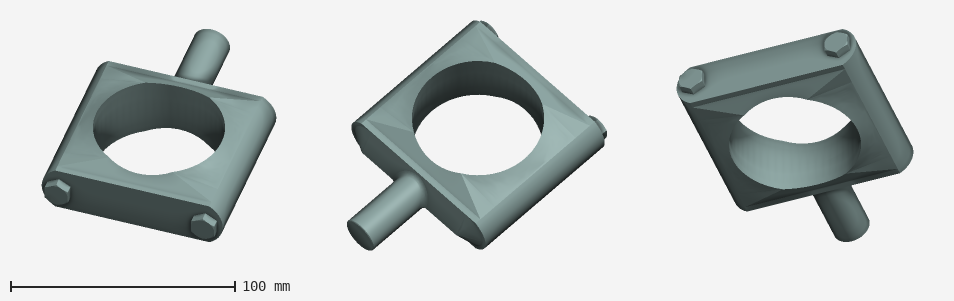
import cadquery as cq
import math

body_width = 85.2
body_length = 74.7
side_radius = 12.7
side_center_x = body_width / 2 - side_radius
bevel_angle = math.radians(30)
flat_half_width = side_center_x + side_radius * math.sin(bevel_angle)
flat_height = side_radius * math.cos(bevel_angle)

bore_radius = 29.5
pad_height = 14.9
pad_foot_y = 34.3
pad_crest_y = 25.4
pad_crest_x = math.sqrt(bore_radius**2 - pad_crest_y**2)

back_y = body_length / 2
roof_height = 5.9
roof_foot = 10.6
root_overlap = 1.2

shank_radius = 8.5
shank_end_y = 74.1
shank_chamfer = 0.3
shank_fillet = 2.3

bolt_x = 34.5
bolt_flats = 10.9
bolt_corners = bolt_flats / math.cos(math.pi / 6)
bolt_height = 4.2
bolt_chamfer_run = 0.8
bolt_chamfer_rise = 0.3


def make_body():
    """Bar section closed by shallow arcs between the top and bottom flats."""
    section = (
        cq.Workplane("XZ")
        .moveTo(-flat_half_width, flat_height)
        .lineTo(flat_half_width, flat_height)
        .threePointArc((body_width / 2, 0), (flat_half_width, -flat_height))
        .lineTo(-flat_half_width, -flat_height)
        .threePointArc((-body_width / 2, 0), (-flat_half_width, flat_height))
        .close()
    )
    return section.extrude(body_length / 2, both=True)


def tapered_slab(plane, foot, crest, half_depth):
    """Symmetric slab that tapers from its foot on the flats to the pad crest."""
    outline = [
        (foot, flat_height), (crest, pad_height),
        (-crest, pad_height), (-foot, flat_height),
        (-foot, -flat_height), (-crest, -pad_height),
        (crest, -pad_height), (foot, -flat_height),
    ]
    return cq.Workplane(plane).polyline(outline).close().extrude(half_depth, both=True)


def make_pad_side():
    """Block whose top is ruled from the level bore rim down to the straight +X edge."""
    def rim(z):
        return cq.Edge.makeThreePointArc(
            cq.Vector(pad_crest_x, -pad_crest_y, z),
            cq.Vector(bore_radius, 0, z),
            cq.Vector(pad_crest_x, pad_crest_y, z),
        )

    def outer_edge(z):
        return cq.Edge.makeLine(
            cq.Vector(flat_half_width, -pad_crest_y, z),
            cq.Vector(flat_half_width, pad_crest_y, z),
        )

    def end_face(y):
        return cq.Face.makeFromWires(cq.Wire.makePolygon([
            cq.Vector(pad_crest_x, y, 0),
            cq.Vector(flat_half_width, y, 0),
            cq.Vector(flat_half_width, y, flat_height),
            cq.Vector(pad_crest_x, y, pad_height),
        ], close=True))

    rim_top = rim(pad_height)
    rim_base = rim(0)
    edge_top = outer_edge(flat_height)
    edge_base = outer_edge(0)
    faces = [
        cq.Face.makeRuledSurface(rim_top, edge_top),
        cq.Face.makeRuledSurface(rim_base, edge_base),
        cq.Face.makeRuledSurface(rim_top, rim_base),
        cq.Face.makeRuledSurface(edge_top, edge_base),
        end_face(pad_crest_y),
        end_face(-pad_crest_y),
    ]
    solid = cq.Solid.makeSolid(cq.Shell.makeShell(faces))
    return cq.Workplane(obj=solid.fix())


def make_pad():
    """Hipped pad ends joined with the four ruled sides around the bore."""
    end_slopes = tapered_slab("YZ", pad_foot_y, pad_crest_y, flat_half_width)
    side_slopes = tapered_slab("XZ", flat_half_width, pad_crest_x, pad_foot_y)
    pad = end_slopes.intersect(side_slopes)
    upper_side = make_pad_side()
    for side in (upper_side, upper_side.mirror("XY")):
        pad = pad.union(side).union(side.mirror("YZ"))
    return pad


def make_shoulder_and_shank():
    """Ridge with half-cone ends, carrying the filleted shank; upper half built and mirrored."""
    root_y = back_y - root_overlap
    ridge_y = back_y + roof_height
    roof = (
        cq.Workplane("YZ")
        .polyline([(root_y, 0), (root_y, roof_foot), (back_y, roof_foot), (ridge_y, 0)])
        .close()
        .extrude(side_center_x, both=True)
    )
    shank = (
        cq.Workplane("XY")
        .polyline([
            (0, root_y), (shank_radius, root_y),
            (shank_radius, shank_end_y - shank_chamfer),
            (shank_radius - shank_chamfer, shank_end_y),
            (0, shank_end_y),
        ])
        .close()
        .revolve(180, (0, 0), (0, -1))
    )
    upper_half = roof.union(shank)
    upper_half = upper_half.edges("%ELLIPSE").fillet(shank_fillet)

    cone = (
        cq.Workplane("XY")
        .polyline([(0, root_y), (roof_foot, root_y), (roof_foot, back_y), (0, ridge_y)])
        .close()
        .revolve(90, (0, 0), (0, -1))
        .translate((side_center_x, 0, 0))
    )
    upper_half = upper_half.union(cone).union(cone.mirror("YZ"))
    return upper_half.union(upper_half.mirror("XY"))


def make_bolt_head(x):
    """Hexagon with corners up and down, its outer corners turned off by a cone."""
    head = (
        cq.Workplane("XZ", origin=(x, -back_y, 0))
        .transformed(rotate=(0, 0, 90))
        .polygon(6, bolt_corners)
        .extrude(bolt_height)
    )
    turned = (
        cq.Workplane("XZ", origin=(x, -back_y, 0))
        .circle(bolt_corners / 2)
        .extrude(bolt_height)
        .faces("<Y").chamfer(bolt_chamfer_rise, bolt_chamfer_run)
    )
    return head.intersect(turned)


bore = cq.Workplane("XY").circle(bore_radius).extrude(body_width, both=True)

result = make_body().union(make_pad()).cut(bore).union(make_shoulder_and_shank())
for bolt_center in (-bolt_x, bolt_x):
    result = result.union(make_bolt_head(bolt_center))